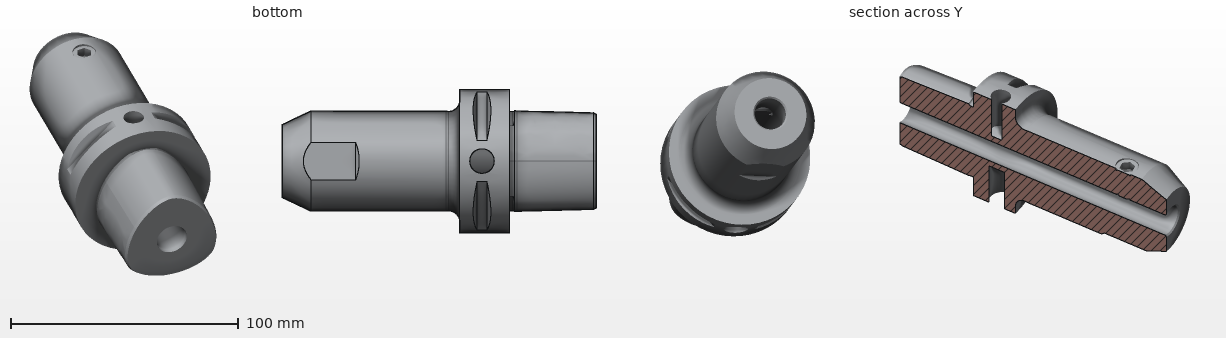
import cadquery as cq
import math

nose_cone_end = 12.7
body_end = 71.9
flange_start = 78.0
flange_end = 99.9
neck_end = 102.1
shank_taper_start = 103.1
shank_chamfer_start = 136.6
total_length = 138.0

nose_diameter = 32.0
body_diameter = 44.0
shoulder_diameter = 43.6
flange_diameter = 63.0
bore_diameter = 14.0
bore_mouth_diameter = 15.3
blend_radius = 5.0

flat_height = 20.4
flat_end = 32.3

screw_x = 22.5
screw_diameter = 10.0
screw_top = 21.1
screw_recess_diameter = 10.4
screw_recess_depth = 0.4
screw_tip_diameter = 8.1
screw_tip_height = 5.7
screw_tip_chamfer = (screw_diameter - screw_tip_diameter) / 2
hex_across_flats = 6.1
hex_depth = 4.1
hex_turn = 40.0
hex_cone_depth = 2.1

gripper_x = 87.8
slot_floor_width = 4.3
slot_floor_height = 27.7
slot_flank_angle = 25.0
slot_angles = (45, 135, 225, 315)
top_hole_diameter = 9.0
bottom_hole_diameter = 10.8
hole_floor_diameter = 20.3

lobe_radius = 22.1
lobe_eccentricity = 1.5
shank_land_rise = 0.07
neck_drop = 0.21
shank_taper = 1 / 40
shank_end_chamfer = 0.7
neck_turned_diameter = 45.0
neck_fillet = 1.0
lobe_count = 3
first_valley_angle = 30.0
points_per_lobe = 12


def lobed_wire(x, mean_radius):
    """Closed three-lobed section at x, with one lobe pointing up."""
    def point(angle):
        support = mean_radius - lobe_eccentricity * math.sin(lobe_count * angle)
        slope = -lobe_count * lobe_eccentricity * math.cos(lobe_count * angle)
        y = support * math.cos(angle) - slope * math.sin(angle)
        z = support * math.sin(angle) + slope * math.cos(angle)
        return cq.Vector(x, y, z)

    edges = []
    for lobe in range(lobe_count):
        start = math.radians(first_valley_angle + 360 / lobe_count * lobe)
        sweep = math.radians(360 / lobe_count)
        angles = [start + sweep * i / points_per_lobe for i in range(points_per_lobe + 1)]
        tangents = [cq.Vector(0, -math.sin(a), math.cos(a)) for a in (angles[0], angles[-1])]
        edges.append(cq.Edge.makeSpline([point(a) for a in angles], tangents=tangents))
    return cq.Wire.assembleEdges(edges)


def lobed_section(start_x, start_radius, end_x, end_radius):
    wires = [lobed_wire(start_x, start_radius), lobed_wire(end_x, end_radius)]
    return cq.Workplane(cq.Solid.makeLoft(wires, True))


def axial_cylinder(diameter, start_x, end_x):
    return cq.Workplane("YZ", origin=(start_x, 0, 0)).circle(diameter / 2).extrude(end_x - start_x)


def make_turned_body():
    shoulder_start = flange_start - blend_radius
    shoulder_radius = shoulder_diameter / 2
    arc_offset = blend_radius * math.sqrt(0.5)
    arc_middle = (shoulder_start + arc_offset, shoulder_radius + blend_radius - arc_offset)
    profile = (
        cq.Workplane("XY")
        .lineTo(0, nose_diameter / 2)
        .lineTo(nose_cone_end, body_diameter / 2)
        .lineTo(body_end, body_diameter / 2)
        .lineTo(shoulder_start, shoulder_radius)
        .threePointArc(arc_middle, (flange_start, shoulder_radius + blend_radius))
        .lineTo(flange_start, flange_diameter / 2)
        .lineTo(flange_end, flange_diameter / 2)
        .lineTo(flange_end, 0)
        .close()
    )
    return profile.revolve(360, (0, 0, 0), (1, 0, 0))


def make_neck_envelope():
    """Turned neck that limits the lobes and runs out into them with a fillet."""
    neck_radius = neck_turned_diameter / 2
    fillet_start = neck_end - neck_fillet
    arc_offset = neck_fillet * math.sqrt(0.5)
    arc_middle = (fillet_start + arc_offset, neck_radius + neck_fillet - arc_offset)
    profile = (
        cq.Workplane("XY")
        .moveTo(flange_end, 0)
        .lineTo(flange_end, neck_radius)
        .lineTo(fillet_start, neck_radius)
        .threePointArc(arc_middle, (neck_end, neck_radius + neck_fillet))
        .lineTo(neck_end, 0)
        .close()
    )
    return profile.revolve(360, (0, 0, 0), (1, 0, 0))


def make_shank():
    neck_radius = lobe_radius - neck_drop
    land_radius = lobe_radius + shank_land_rise
    chamfer_radius = lobe_radius - shank_taper * (shank_chamfer_start - shank_taper_start)
    tip_radius = chamfer_radius - shank_end_chamfer
    neck = lobed_section(flange_end, neck_radius, neck_end, neck_radius)
    neck = neck.intersect(make_neck_envelope())
    land = lobed_section(neck_end, land_radius, shank_taper_start, lobe_radius)
    taper = lobed_section(shank_taper_start, lobe_radius, shank_chamfer_start, chamfer_radius)
    tip = lobed_section(shank_chamfer_start, chamfer_radius, total_length, tip_radius)
    return neck.union(land).union(taper).union(tip)


def make_bore():
    mouth_chamfer = (bore_mouth_diameter - bore_diameter) / 2
    mouth = cq.Solid.makeCone(bore_mouth_diameter / 2, bore_diameter / 2, mouth_chamfer,
                              cq.Vector(0, 0, 0), cq.Vector(1, 0, 0))
    return axial_cylinder(bore_diameter, 0, total_length).union(cq.Workplane(mouth))


def make_balance_flat():
    depth = body_diameter / 2 - flat_height
    return (
        cq.Workplane("XZ")
        .moveTo(0, -flat_height)
        .lineTo(flat_end, -flat_height)
        .lineTo(flat_end + depth, -flat_height - depth)
        .lineTo(0, -flat_height - depth)
        .close()
        .extrude(body_diameter / 2, both=True)
    )


def make_screw():
    screw = (
        cq.Workplane("XY", origin=(screw_x, 0, screw_tip_height))
        .circle(screw_diameter / 2)
        .extrude(screw_top - screw_tip_height)
        .faces("<Z")
        .chamfer(screw_tip_chamfer)
    )
    hex_corner_diameter = hex_across_flats / math.cos(math.pi / 6)
    socket_floor = screw_top - hex_depth
    socket = (
        cq.Workplane("XY", origin=(screw_x, 0, socket_floor))
        .transformed(rotate=(0, 0, hex_turn))
        .polygon(6, hex_corner_diameter)
        .extrude(hex_depth)
    )
    cone = cq.Solid.makeCone(hex_across_flats / 2, 0, hex_cone_depth,
                             cq.Vector(screw_x, 0, socket_floor), cq.Vector(0, 0, -1))
    return screw.cut(socket).cut(cq.Workplane(cone))


def make_screw_hole():
    return (
        cq.Workplane("XY", origin=(screw_x, 0, 0))
        .circle(screw_diameter / 2)
        .extrude(body_diameter / 2)
    )


def make_screw_recess():
    """Shallow pocket that leaves a narrow ring around the head of the screw."""
    floor = screw_top - screw_recess_depth
    return (
        cq.Workplane("XY", origin=(screw_x, 0, floor))
        .circle(screw_recess_diameter / 2)
        .extrude(body_diameter / 2 - floor)
    )


def make_gripper_slot(angle):
    """Trapezoidal slot crossing the flange rim, turned about X from the top."""
    depth = flange_diameter / 2 - slot_floor_height
    floor_half = slot_floor_width / 2
    rim_half = floor_half + depth * math.tan(math.radians(slot_flank_angle))
    slot = (
        cq.Workplane("XZ", origin=(gripper_x, 0, slot_floor_height))
        .polyline([(-floor_half, 0), (floor_half, 0), (rim_half, depth), (-rim_half, depth)])
        .close()
        .extrude(flange_diameter / 2, both=True)
    )
    return slot.rotate((0, 0, 0), (1, 0, 0), angle)


def make_radial_hole(diameter, direction):
    """Hole up (direction 1) or down (-1) through the flange, ending on an axial cylinder."""
    hole = (
        cq.Workplane("XY", origin=(gripper_x, 0, 0))
        .circle(diameter / 2)
        .extrude(direction * flange_diameter / 2)
    )
    return hole.cut(axial_cylinder(hole_floor_diameter, flange_start, flange_end))


result = make_turned_body().union(make_shank())
result = result.cut(make_balance_flat()).cut(make_bore())
result = result.cut(make_screw_hole()).cut(make_screw_recess()).union(make_screw())
for slot_angle in slot_angles:
    result = result.cut(make_gripper_slot(slot_angle))
result = result.cut(make_radial_hole(top_hole_diameter, 1))
result = result.cut(make_radial_hole(bottom_hole_diameter, -1))